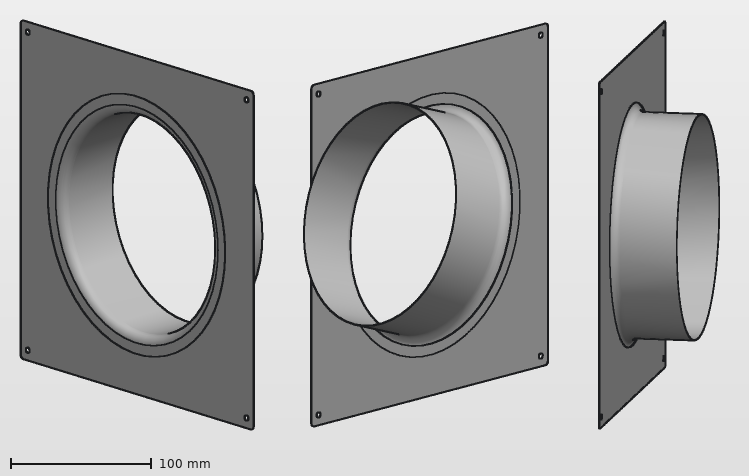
import cadquery as cq
import math

plate_side = 250.0
plate_thickness = 0.7
corner_radius = 3.0
screw_hole_diameter = 4.0
screw_hole_edge_distance = 7.6

collar_length = 48.5
spigot_outer_diameter = 161.3
spigot_inner_diameter = 160.3
flange_diameter = 190.3
bend_front_radius = 7.0

spigot_outer_radius = spigot_outer_diameter / 2
spigot_inner_radius = spigot_inner_diameter / 2
flange_radius = flange_diameter / 2
sheet_thickness = spigot_outer_radius - spigot_inner_radius

bend_back_radius = bend_front_radius - sheet_thickness
bend_center_radius = spigot_inner_radius + bend_front_radius
bend_center_y = bend_front_radius

plate_opening_radius = bend_center_radius
screw_hole_spacing = plate_side - 2 * screw_hole_edge_distance


def bend_midpoint(bend_radius):
    """Middle of a quarter bend arc, as (distance from the axis, Y)."""
    offset = bend_radius * math.cos(math.radians(45))
    return (bend_center_radius - offset, bend_center_y - offset)


def make_collar():
    """Flanged spigot: the bent sheet profile revolved about the Y axis."""
    return (
        cq.Workplane("XY")
        .moveTo(flange_radius, 0)
        .lineTo(bend_center_radius, 0)
        .threePointArc(bend_midpoint(bend_front_radius), (spigot_inner_radius, bend_center_y))
        .lineTo(spigot_inner_radius, collar_length)
        .lineTo(spigot_outer_radius, collar_length)
        .lineTo(spigot_outer_radius, bend_center_y)
        .threePointArc(bend_midpoint(bend_back_radius), (bend_center_radius, sheet_thickness))
        .lineTo(flange_radius, sheet_thickness)
        .close()
        .revolve(360, (0, 0, 0), (0, 1, 0))
    )


def plate_front():
    """Workplane on the plate's front face; it faces -Y, so negative extrusions run toward +Y."""
    return cq.Workplane("XZ", origin=(0, sheet_thickness, 0))


def make_plate():
    """Rounded square plate with a round opening and a screw hole in each corner."""
    blank = (
        plate_front()
        .rect(plate_side, plate_side)
        .extrude(-plate_thickness)
        .edges("|Y")
        .fillet(corner_radius)
    )
    opening = plate_front().circle(plate_opening_radius).extrude(-plate_thickness)
    screw_holes = (
        plate_front()
        .rect(screw_hole_spacing, screw_hole_spacing, forConstruction=True)
        .vertices()
        .circle(screw_hole_diameter / 2)
        .extrude(-plate_thickness)
    )
    return blank.cut(opening).cut(screw_holes)


collar = make_collar()
plate = make_plate()

result = cq.Compound.makeCompound([collar.val(), *plate.solids().vals()])